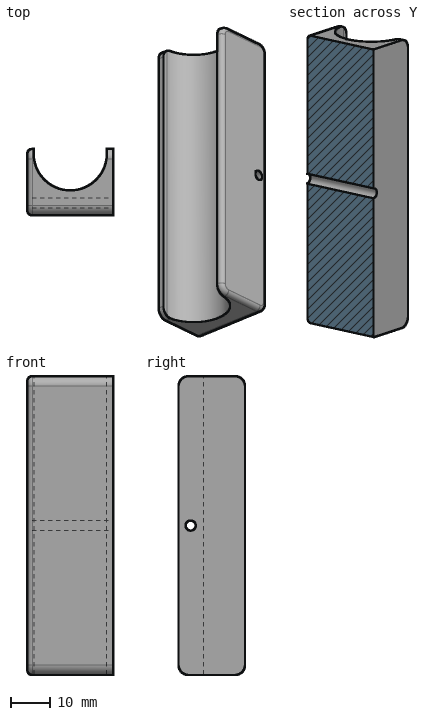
import cadquery as cq

width = 21.95
depth = 17.0
height = 76.2

corner_radius = 2.6
rim_radius = 1.3

channel_radius = 9.3
channel_depth = 10.6

hole_diameter = 2.5
hole_offset = 3.1


def make_body():
    """Block with rounded corners and a rounded rim on its -X face."""
    block = cq.Workplane("XY").box(width, depth, height)
    return block.edges("|X").fillet(corner_radius).faces("<X").edges().fillet(rim_radius)


def make_channel():
    """U-shaped cutter running the full height."""
    axis_y = depth / 2 - channel_depth + channel_radius
    return (
        cq.Workplane("XY", origin=(0, 0, -height / 2))
        .moveTo(-channel_radius, depth / 2)
        .lineTo(-channel_radius, axis_y)
        .threePointArc((0, axis_y - channel_radius), (channel_radius, axis_y))
        .lineTo(channel_radius, depth / 2)
        .close()
        .extrude(height)
    )


def make_cross_hole():
    """Cylinder along X, halfway up the block."""
    return (
        cq.Workplane("YZ", origin=(-width / 2, hole_offset - depth / 2, 0))
        .circle(hole_diameter / 2)
        .extrude(width)
    )


result = make_body().cut(make_channel()).cut(make_cross_hole())